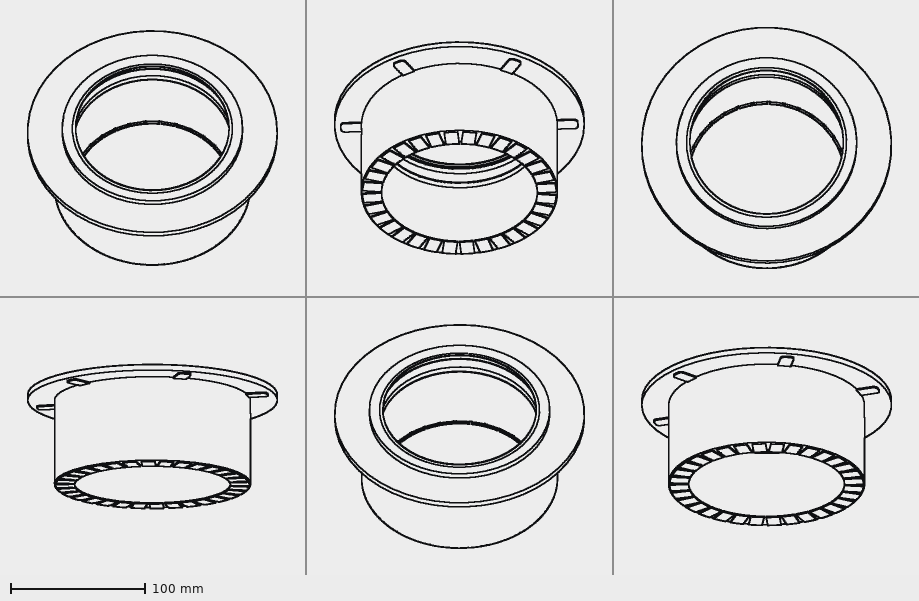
import cadquery as cq

total_height = 74.0
foot_height = 1.0
collar_height = 4.5
flange_thickness = 4.4
lip_thickness = 0.7
flange_top = total_height - collar_height
flange_bottom = flange_top - flange_thickness
lip_bottom = total_height - lip_thickness

sleeve_diameter = 146.0
collar_diameter = 134.3
bore_diameter = 119.2
lip_diameter = 114.3

groove_diameter = 123.0
groove_width = 5.2
seal_outer_diameter = 122.5
seal_bulge_radius = 2.5
upper_seal_height = flange_top
seal_spacing = 13.5
seal_heights = [upper_seal_height, upper_seal_height - seal_spacing]

flange_diameter = 186.0
pad_count = 6
pad_first_angle = 30.0
pad_width = 10.0
pad_tip_radius = 88.3
pad_height = 1.0
pad_corner_radius = 3.0

foot_count = 32
foot_width = 10.0
foot_inner_diameter = 116.0
foot_tread_diameter = 144.2
foot_chamfer = (sleeve_diameter - foot_tread_diameter) / 2


def ring(outer_diameter, inner_diameter, bottom, top):
    """Flat-ended ring on the Z axis."""
    profile = cq.Workplane("XY", origin=(0, 0, bottom)).circle(outer_diameter / 2).circle(inner_diameter / 2)
    return profile.extrude(top - bottom)


def radial_bar(tip_radius, width, bottom, height):
    """Bar along +X from the Z axis out to tip_radius."""
    return cq.Workplane("XY").box(tip_radius, width, height, centered=(False, True, False)).translate((0, 0, bottom))


def around_axis(body, count, first_angle=0.0):
    """Copies of a body spaced evenly about the Z axis."""
    return [body.rotate((0, 0, 0), (0, 0, 1), first_angle + i * 360 / count) for i in range(count)]


def make_seal(height):
    """Ring with a half-round section bulging toward the Z axis."""
    outer_radius = seal_outer_diameter / 2
    section = (
        cq.Workplane("XZ")
        .moveTo(outer_radius, height - seal_bulge_radius)
        .threePointArc((outer_radius - seal_bulge_radius, height), (outer_radius, height + seal_bulge_radius))
        .close()
    )
    return section.revolve(360, (0, 0), (0, 1))


def make_groove(height):
    """Space cut from the bore around one sealing ring."""
    return ring(groove_diameter, lip_diameter, height - groove_width / 2, height + groove_width / 2)


def make_foot():
    """One foot along +X, chamfered around the outside of its tread."""
    foot_ring = ring(sleeve_diameter, foot_inner_diameter, 0, foot_height)
    foot_ring = foot_ring.faces("<Z").edges(cq.selectors.RadiusNthSelector(-1)).chamfer(foot_chamfer)
    return foot_ring.intersect(radial_bar(sleeve_diameter, foot_width, 0, foot_height))


def make_sleeve():
    """Tube with a narrower collar on top, two seal grooves, a lip and a ring of feet."""
    body = ring(sleeve_diameter, bore_diameter, foot_height, flange_bottom)
    body = body.union(ring(collar_diameter, bore_diameter, flange_bottom, total_height))
    body = body.union(ring(collar_diameter, lip_diameter, lip_bottom, total_height))
    for height in seal_heights:
        body = body.cut(make_groove(height))
    for foot in around_axis(make_foot(), foot_count):
        body = body.union(foot)
    return body


def make_flange():
    """Flat ring around the collar with pads reaching out from the sleeve on its underside."""
    body = ring(flange_diameter, collar_diameter, flange_bottom, flange_top)
    pad_bottom = flange_bottom - pad_height
    sleeve_space = cq.Workplane("XY", origin=(0, 0, pad_bottom)).circle(sleeve_diameter / 2).extrude(pad_height)
    pad = radial_bar(pad_tip_radius, pad_width, pad_bottom, pad_height)
    pad = pad.edges("|Z and >X").fillet(pad_corner_radius).cut(sleeve_space)
    for copy in around_axis(pad, pad_count, pad_first_angle):
        body = body.union(copy)
    return body


sleeve = make_sleeve()
flange = make_flange()
seals = [make_seal(height) for height in seal_heights]

result = cq.Compound.makeCompound([sleeve.val(), flange.val(), *[seal.val() for seal in seals]])